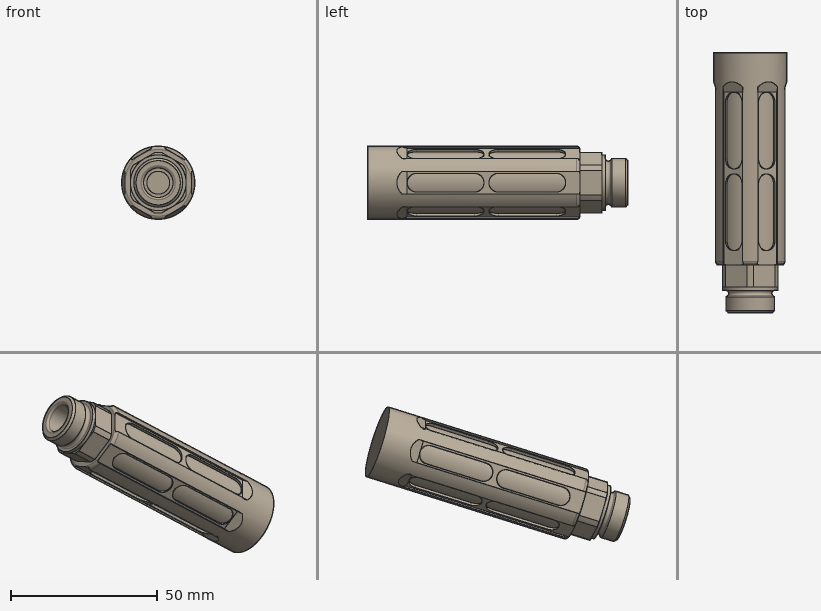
import cadquery as cq
import math

TOTAL_LENGTH = 88.6

THREAD_RADIUS = 16.7 / 2
THREAD_LENGTH = 5.4
THREAD_MOUTH_CHAMFER = 0.8
NECK_RADIUS = 14.8 / 2
NECK_FRONT = 5.85
NECK_ARC_RADIUS = 1.0
COLLAR_RADIUS = 19.0 / 2
COLLAR_FRONT = 7.6

HEX_FRONT = 8.9
HEX_ACROSS_FLATS = 2 * COLLAR_RADIUS
HEX_CORNER_RADIUS = 20.7 / 2

BODY_FRONT = 16.3
BODY_RADIUS = 25.0 / 2
BODY_EDGE_FILLET = 1.15
SIDES = 6

FLAT_DISTANCE = 11.25
FLAT_WIDTH = 7.8
FLAT_REAR = 75.1
RAMP_REAR = 78.7

SLOT_LENGTH = 26.1
SLOT_WIDTH = 6.4
SLOT_GAP = 1.7
CORE_RADIUS = 21.4 / 2

BORE_RADIUS = 10.0 / 2
BORE_DEPTH = 12.4
INNER_BORE_RADIUS = 7.8 / 2
INNER_BORE_DEPTH = 15.95
BORE_MOUTH_RADIUS = 0.8


def cylinder(radius, front, rear):
    """Round bar about the Y axis."""
    return cq.Workplane("XZ", origin=(0, front, 0)).circle(radius).extrude(front - rear)


def make_threaded_end():
    """Turned thread, round-bottomed relief neck and collar."""
    neck_arc_centre = NECK_RADIUS + NECK_ARC_RADIUS
    neck_arc_y = COLLAR_FRONT - NECK_ARC_RADIUS
    neck_front_radius = neck_arc_centre - math.sqrt(NECK_ARC_RADIUS**2 - (neck_arc_y - NECK_FRONT) ** 2)
    return (
        cq.Workplane("XY")
        .moveTo(0, 0)
        .lineTo(THREAD_RADIUS - THREAD_MOUTH_CHAMFER, 0)
        .lineTo(THREAD_RADIUS, THREAD_MOUTH_CHAMFER)
        .lineTo(THREAD_RADIUS, THREAD_LENGTH)
        .lineTo(neck_front_radius, NECK_FRONT)
        .threePointArc((NECK_RADIUS, neck_arc_y), (neck_arc_centre, COLLAR_FRONT))
        .lineTo(COLLAR_RADIUS, COLLAR_FRONT)
        .lineTo(COLLAR_RADIUS, HEX_FRONT)
        .lineTo(0, HEX_FRONT)
        .close()
        .revolve(360, (0, 0, 0), (0, 1, 0))
    )


def make_hexagon():
    """Hexagon with flats facing +X and -X and its corners turned round."""
    corner_to_corner = HEX_ACROSS_FLATS / math.cos(math.pi / SIDES)
    prism = (
        cq.Workplane("XZ", origin=(0, HEX_FRONT, 0))
        .transformed(rotate=(0, 0, 180 / SIDES))
        .polygon(SIDES, corner_to_corner)
        .extrude(HEX_FRONT - BODY_FRONT)
    )
    return prism.intersect(cylinder(HEX_CORNER_RADIUS, HEX_FRONT, BODY_FRONT))


def make_flat_recess():
    """Cutter for the flat on the +X side, open at the front and ramped out at the rear."""
    outside = 2 * BODY_RADIUS
    ramp_slope = (RAMP_REAR - FLAT_REAR) / (BODY_RADIUS - FLAT_DISTANCE)
    outline = [
        (FLAT_DISTANCE, 0),
        (FLAT_DISTANCE, FLAT_REAR),
        (outside, FLAT_REAR + ramp_slope * (outside - FLAT_DISTANCE)),
        (outside, 0),
    ]
    return cq.Workplane("XY").polyline(outline).close().extrude(FLAT_WIDTH / 2, both=True)


def make_slots():
    """Cutter for the two slots in the +X flat, reaching down to the round core."""
    pitch = SLOT_LENGTH + SLOT_GAP
    rear_centre = FLAT_REAR - SLOT_LENGTH / 2
    slots = (
        cq.Workplane("YZ")
        .pushPoints([(rear_centre, 0), (rear_centre - pitch, 0)])
        .slot2D(SLOT_LENGTH, SLOT_WIDTH)
        .extrude(BODY_RADIUS)
    )
    return slots.cut(cylinder(CORE_RADIUS, 0, TOTAL_LENGTH))


def make_body():
    """Sleeve with a rounded front edge and a recessed, slotted flat on each of its sides."""
    body = cylinder(BODY_RADIUS, BODY_FRONT, TOTAL_LENGTH).faces("<Y").edges().fillet(BODY_EDGE_FILLET)
    recess = make_flat_recess()
    slots = make_slots()
    for side in range(SIDES):
        angle = side * 360 / SIDES
        body = body.cut(recess.rotate((0, 0, 0), (0, 1, 0), angle))
        body = body.cut(slots.rotate((0, 0, 0), (0, 1, 0), angle))
    return body


def make_bore():
    """Cutter for the stepped blind bore with a rounded mouth."""
    return (
        cq.Workplane("XY")
        .moveTo(0, 0)
        .lineTo(BORE_RADIUS + BORE_MOUTH_RADIUS, 0)
        .radiusArc((BORE_RADIUS, BORE_MOUTH_RADIUS), BORE_MOUTH_RADIUS)
        .lineTo(BORE_RADIUS, BORE_DEPTH)
        .lineTo(INNER_BORE_RADIUS, BORE_DEPTH)
        .lineTo(INNER_BORE_RADIUS, INNER_BORE_DEPTH)
        .lineTo(0, INNER_BORE_DEPTH)
        .close()
        .revolve(360, (0, 0, 0), (0, 1, 0))
    )


solid = make_body().union(make_hexagon()).union(make_threaded_end()).cut(make_bore())
result = solid.translate((0, -TOTAL_LENGTH / 2, 0))